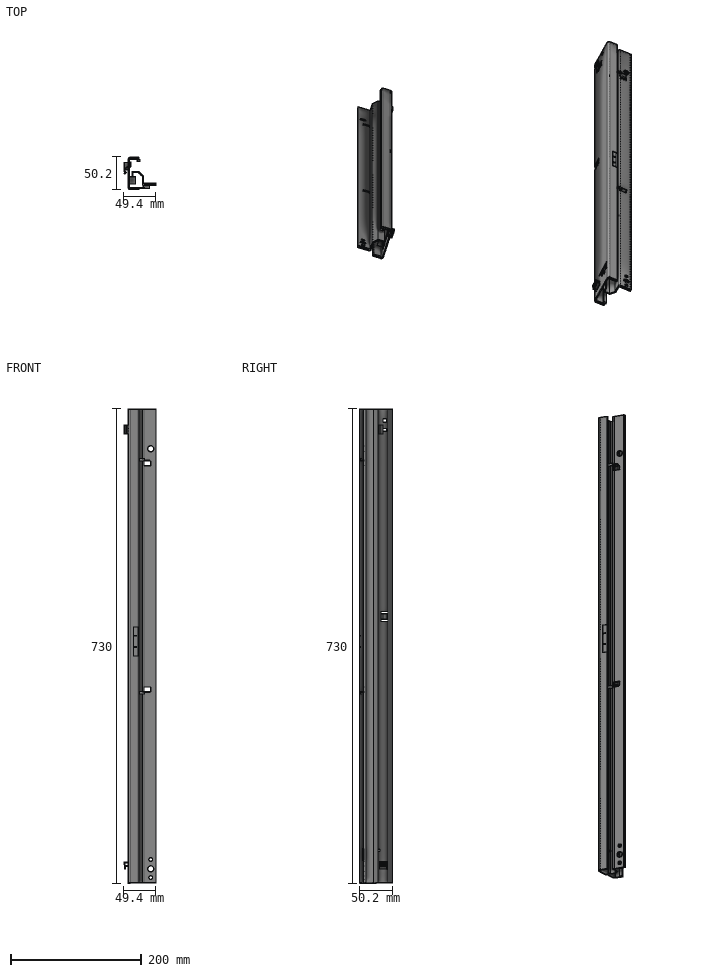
import cadquery as cq


sheet = 1.8
hem_gap = 0.2
hem = 2 * sheet + hem_gap
bend = hem

length = 730.0
depth = 50.2
clip_reach = 6.43
rail_right = 43.0

flange_end = 17.0
lip_end = 18.5
lip_width = 4.7
lip_drop = 3.0
foot_drop = 1.4
foot_height = 25.0
foot_width = 2.6

leg_x = 5.8
leg_end = 21.0
hat_top = 28.4
slope_start = 15.5
wall_x = 21.8
slope_end = 20.3
rail_flange_y = 6.2
rail_bend = 2.4


def block(x_range, y_range, z_range):
    """Box given by its limits along each axis."""
    lows, highs = zip(x_range, y_range, z_range)
    sizes = [high - low for low, high in zip(lows, highs)]
    return cq.Workplane("XY").box(*sizes, centered=False).translate(lows)


def upright(points, z_range):
    """Closed outline in plan, extruded along Z."""
    bottom, top = z_range
    return cq.Workplane("XY").workplane(offset=bottom).polyline(points).close().extrude(top - bottom)


def web_window(y_range, z_range):
    """Cutter for a rectangular opening through the web."""
    return block((-sheet, 2 * sheet), y_range, z_range)


def flange_with_hem():
    """Lower flange, its fold and the layer folded back; the web joins at its left end."""
    fold = hem / 2
    slit = hem_gap / 2
    body = (
        cq.Workplane("XY")
        .moveTo(bend, 0)
        .lineTo(flange_end - fold, 0)
        .radiusArc((flange_end - fold, hem), -fold)
        .lineTo(bend, hem)
        .close()
        .extrude(length)
    )
    gap = block((bend, flange_end - fold), (fold - slit, fold + slit), (0, length))
    return body.cut(gap)


def channel_sheet():
    inner = bend - sheet
    web = (
        cq.Workplane("XY")
        .moveTo(bend, 0)
        .radiusArc((0, bend), bend)
        .lineTo(0, depth - bend)
        .radiusArc((bend, depth), bend)
        .lineTo(bend, depth - sheet)
        .radiusArc((sheet, depth - bend), -inner)
        .lineTo(sheet, bend)
        .radiusArc((bend, sheet), -inner)
        .close()
        .extrude(length)
    )
    lower = flange_with_hem()
    upper = lower.mirror("XZ").translate((0, depth, 0))
    lip_top = depth - hem + sheet
    lip = block((lip_end - lip_width, lip_end), (depth - hem - lip_drop, lip_top), (0, length))
    lip = lip.cut(block((flange_end - hem / 2, lip_end), (depth - hem, lip_top), (0, length)))
    whole = web.union(lower).union(upper).union(lip)
    beside_foot = block((foot_width, rail_right), (-1, depth + 1), (0, foot_drop))
    above_foot = block((-1, rail_right), (foot_height, depth + 1), (0, foot_drop))
    return whole.cut(beside_foot).cut(above_foot)


pin_hole_diameter = 5.0
pin_hole_y, pin_hole_z = 20.5, 722.5
square_hole_y, square_hole_z = (36.0, 41.0), (710.0, 715.0)
corner_notch_y, corner_notch_z = (44.0, depth + 1), (718.5, 724.5)

upper_clip_window_y, upper_clip_window_z = (23.0, 36.0), (692.0, 705.5)
upper_clip_slot_y, upper_clip_slot_z = (35.0, 41.5), (696.0, 700.0)
clip_crest_y = (28.0, 32.5)
clip_neck_x, clip_neck_y = -4.6, 26.5
clip_lip_y = 25.0

middle_window_y, middle_window_z = (33.0, 44.0), (403.5, 418.5)
middle_tongue_y, middle_tongue_z = (33.0, 42.5), (406.5, 415.5)
middle_tongue_set = 3.0
middle_notch_z = (406.0, 417.0)

lower_hook_window_y, lower_hook_window_z = (30.5, 43.5), (22.5, 34.0)
hook_heights = (33.8, 28.0)
hook_reach = (6.0, 5.2)
hook_tip_thickness = 1.4
hook_drop = (4.0, 5.5)
hook_y = (30.5, 42.0)

shelf_window_y, shelf_window_z = (5.0, 22.5), (36.5, 53.5)
shelf_y = (8.5, 20.0)
shelf_reach = 11.7
arm_slot_y, arm_slot_z = (22.0, 31.0), (50.3, 52.7)
relief_y, relief_z = (12.0, 15.0), (31.5, 36.5)

recess_x, recess_z = (8.5, flange_end), (350.5, 394.5)
recess_depth = 0.8
recess_slits_z = (364.0, 381.5)
recess_slit_length = 4.5
recess_slit_width = 1.0


def upper_clip():
    """Slanted tongue that leaves the web at the top of its window and ends in a flared lip."""
    crest_x = -clip_reach
    root_y = upper_clip_window_y[1]
    crest_low, crest_high = clip_crest_y
    outline = [
        (0, root_y),
        (crest_x, crest_high),
        (crest_x, crest_low),
        (clip_neck_x, clip_neck_y),
        (crest_x, clip_lip_y),
        (crest_x + sheet, clip_lip_y - sheet / 2),
        (clip_neck_x + sheet, clip_neck_y),
        (crest_x + sheet, crest_low + sheet / 2),
        (crest_x + sheet, crest_high - sheet / 2),
        (sheet, root_y),
    ]
    return upright(outline, upper_clip_window_z)


def middle_tongue():
    root, end = middle_tongue_y
    shift = middle_tongue_set
    outline = [
        (0, root), (shift, root + shift), (shift, end),
        (shift + sheet, end), (shift + sheet, root + shift), (sheet, root),
    ]
    return upright(outline, middle_tongue_z)


def lower_hooks():
    hooks = cq.Workplane("XY")
    for top, reach, drop in zip(hook_heights, hook_reach, hook_drop):
        shelf = block((-reach, sheet), hook_y, (top - sheet, top))
        tip = block((-reach, -reach + hook_tip_thickness), hook_y, (top - drop, top))
        hooks = hooks.add(shelf.union(tip))
    return hooks.combine()


def make_channel():
    body = channel_sheet()

    pin_hole = (
        cq.Workplane("YZ").center(pin_hole_y, pin_hole_z).circle(pin_hole_diameter / 2).extrude(2 * sheet)
    )
    body = body.cut(pin_hole)
    for y_range, z_range in (
        (square_hole_y, square_hole_z),
        (upper_clip_window_y, upper_clip_window_z),
        (upper_clip_slot_y, upper_clip_slot_z),
        (middle_window_y, middle_window_z),
        (lower_hook_window_y, lower_hook_window_z),
        (shelf_window_y, shelf_window_z),
        (arm_slot_y, arm_slot_z),
        (relief_y, relief_z),
    ):
        body = body.cut(web_window(y_range, z_range))

    body = body.cut(block((-1, bend), corner_notch_y, corner_notch_z))
    body = body.cut(block((-1, bend), (depth - bend, depth + 1), middle_notch_z))

    shelf_bottom = shelf_window_z[0] - sheet
    shelf = block((0, shelf_reach), shelf_y, (shelf_bottom, shelf_bottom + sheet))
    for piece in (upper_clip(), middle_tongue(), lower_hooks(), shelf):
        body = body.union(piece)

    body = body.cut(block(recess_x, (0, recess_depth), recess_z))
    slit_x = (recess_x[0], recess_x[0] + recess_slit_length)
    for middle in recess_slits_z:
        slit_z = (middle - recess_slit_width / 2, middle + recess_slit_width / 2)
        body = body.cut(block(slit_x, (0, sheet), slit_z))
    return body


hole_x = 34.8
mount_holes = ((669.0, 8.8), (37.2, 5.4), (23.0, 8.8), (9.4, 5.4))
slot_x = (24.5, 34.5)
ear_end = 33.0
ear_low_y = 1.6
ear_foot_x = (17.5, 25.0)
ear_foot_height = 4.0
ear_bottom_upper = 649.8
ear_bottom_lower = 293.8
slot_height = 6.6


def rail_sheet():
    wall_right = wall_x + sheet
    flange_top = rail_flange_y + hem
    slope_shift = 0.75
    hat_under = hat_top - sheet
    outline = (
        cq.Workplane("XY")
        .workplane(offset=foot_drop)
        .moveTo(leg_x, leg_end)
        .lineTo(leg_x, hat_top)
        .lineTo(slope_start + slope_shift, hat_top)
        .lineTo(wall_right, slope_end + slope_shift)
        .lineTo(wall_right, flange_top)
        .lineTo(rail_right, flange_top)
        .lineTo(rail_right, rail_flange_y)
        .lineTo(wall_x + rail_bend, rail_flange_y)
        .radiusArc((wall_x, rail_flange_y + rail_bend), rail_bend)
        .lineTo(wall_x, slope_end)
        .lineTo(slope_start, hat_under)
        .lineTo(leg_x + sheet, hat_under)
        .lineTo(leg_x + sheet, leg_end)
        .close()
        .extrude(length - foot_drop)
    )
    slit_y = rail_flange_y + sheet
    slit = block((wall_right + sheet, rail_right - sheet), (slit_y, slit_y + hem_gap), (0, length))
    return outline.cut(slit)


def make_rail():
    body = rail_sheet()
    flange_y = (rail_flange_y - 1, rail_flange_y + hem + 1)
    for height, diameter in mount_holes:
        hole = (
            cq.Workplane("XZ", origin=(hole_x, flange_y[0], height))
            .circle(diameter / 2)
            .extrude(-(flange_y[1] - flange_y[0]))
        )
        body = body.cut(hole)

    slots = (
        (ear_bottom_upper, ear_bottom_upper - slot_height, ear_bottom_upper),
        (ear_bottom_lower, ear_bottom_lower + sheet, ear_bottom_lower + sheet - ear_foot_height),
    )
    for ear_bottom, slot_bottom, foot_bottom in slots:
        slot = block(slot_x, flange_y, (slot_bottom, slot_bottom + slot_height))
        ear_y = (ear_low_y, rail_flange_y + sheet)
        ear = block((wall_x + rail_bend / 2, ear_end), ear_y, (ear_bottom, ear_bottom + sheet))
        foot_y = (ear_low_y, ear_low_y + sheet)
        foot = block(ear_foot_x, foot_y, (foot_bottom, foot_bottom + ear_foot_height))
        body = body.cut(slot).union(ear).union(foot)
    return body


channel = make_channel()
rail = make_rail()
result = cq.Compound.makeCompound([channel.val(), rail.val()])